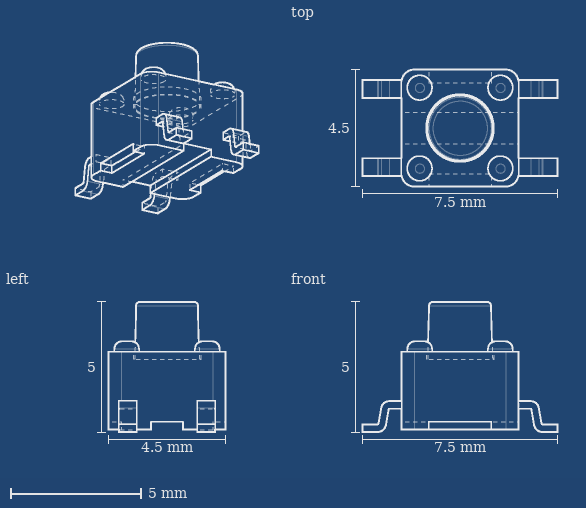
import cadquery as cq
import math

body_side = 4.5
body_corner_radius = 0.5
body_bottom = 0.1
body_height = 3.0
cover_thickness = 0.3
cover_top = body_bottom + body_height
cover_bottom = cover_top - cover_thickness

recess_height = 0.3
channel_width = 1.22
notch_width = 2.4
notch_depth = 0.5

overall_height = 5.0
cover_hole_diameter = 2.6
button_base_diameter = 2.5
button_top_diameter = 2.38
button_edge_radius = 0.15

rivet_diameter = 0.95
rivet_height = 0.4
rivet_edge_radius = 0.3
rivet_pitch = 3.1

overall_length = 7.5
leg_pitch = 3.0
leg_width = 0.7
leg_thickness = 0.3
leg_top = 1.2
leg_slant_angle = math.radians(10)
shoulder_bend_x = 2.71
shoulder_inner_radius = 0.025
foot_inner_radius = 0.05


def make_housing():
    """Rounded block with a channel along X and a notch at each Y side."""
    block = (
        cq.Workplane("XY")
        .workplane(offset=body_bottom)
        .rect(body_side, body_side)
        .extrude(body_height)
        .edges("|Z")
        .fillet(body_corner_radius)
    )
    underside = cq.Workplane("XY").workplane(offset=body_bottom)
    channel = underside.rect(body_side, channel_width).extrude(recess_height)
    notch_y = (body_side - notch_depth) / 2
    notches = (
        underside.pushPoints([(0, -notch_y), (0, notch_y)])
        .rect(notch_width, notch_depth)
        .extrude(recess_height)
    )
    cover_hole = (
        cq.Workplane("XY")
        .workplane(offset=cover_bottom)
        .circle(cover_hole_diameter / 2)
        .extrude(cover_thickness)
    )
    return block.cut(channel).cut(notches).cut(cover_hole)


def make_button():
    """Tapered button with a rounded top edge, rising from the floor of the cover hole."""
    button_height = overall_height - cover_bottom
    return (
        cq.Workplane("XY")
        .workplane(offset=cover_bottom)
        .circle(button_base_diameter / 2)
        .workplane(offset=button_height)
        .circle(button_top_diameter / 2)
        .loft(ruled=True)
        .faces(">Z")
        .edges()
        .fillet(button_edge_radius)
    )


def make_rivets():
    """Four short cylinders with a domed top, one near each cover corner."""
    return (
        cq.Workplane("XY")
        .workplane(offset=cover_top)
        .rect(rivet_pitch, rivet_pitch, forConstruction=True)
        .vertices()
        .circle(rivet_diameter / 2)
        .extrude(rivet_height)
        .faces(">Z")
        .edges()
        .fillet(rivet_edge_radius)
    )


def make_leg():
    """Leg on the +X side, centred on Y = 0: shoulder, slanted shank and flat foot."""
    shoulder_outer_radius = shoulder_inner_radius + leg_thickness
    foot_outer_radius = foot_inner_radius + leg_thickness
    cos_slant = math.cos(leg_slant_angle)
    sin_slant = math.sin(leg_slant_angle)

    shoulder_bend_z = leg_top - shoulder_outer_radius
    foot_bend_z = foot_outer_radius
    bend_drop = shoulder_bend_z - foot_bend_z
    foot_bend_x = shoulder_bend_x + (
        shoulder_outer_radius + foot_inner_radius + bend_drop * sin_slant
    ) / cos_slant

    middle_angle = (math.pi / 2 + leg_slant_angle) / 2
    cos_middle = math.cos(middle_angle)
    sin_middle = math.sin(middle_angle)

    def shoulder_point(radius, cosine, sine):
        return (shoulder_bend_x + radius * cosine, shoulder_bend_z + radius * sine)

    def foot_point(radius, cosine, sine):
        return (foot_bend_x - radius * cosine, foot_bend_z - radius * sine)

    root_x = body_side / 2 - body_corner_radius
    tip_x = overall_length / 2
    return (
        cq.Workplane("XZ")
        .moveTo(root_x, leg_top)
        .lineTo(shoulder_bend_x, leg_top)
        .threePointArc(
            shoulder_point(shoulder_outer_radius, cos_middle, sin_middle),
            shoulder_point(shoulder_outer_radius, cos_slant, sin_slant),
        )
        .lineTo(*foot_point(foot_inner_radius, cos_slant, sin_slant))
        .threePointArc(
            foot_point(foot_inner_radius, cos_middle, sin_middle),
            (foot_bend_x, leg_thickness),
        )
        .lineTo(tip_x, leg_thickness)
        .lineTo(tip_x, 0)
        .lineTo(foot_bend_x, 0)
        .threePointArc(
            foot_point(foot_outer_radius, cos_middle, sin_middle),
            foot_point(foot_outer_radius, cos_slant, sin_slant),
        )
        .lineTo(*shoulder_point(shoulder_inner_radius, cos_slant, sin_slant))
        .threePointArc(
            shoulder_point(shoulder_inner_radius, cos_middle, sin_middle),
            (shoulder_bend_x, leg_top - leg_thickness),
        )
        .lineTo(root_x, leg_top - leg_thickness)
        .close()
        .extrude(leg_width / 2, both=True)
    )


result = make_housing().union(make_button()).union(make_rivets())

right_leg = make_leg()
left_leg = right_leg.mirror("YZ")
for leg_y in (-leg_pitch / 2, leg_pitch / 2):
    for leg in (left_leg, right_leg):
        result = result.union(leg.translate((0, leg_y, 0)))